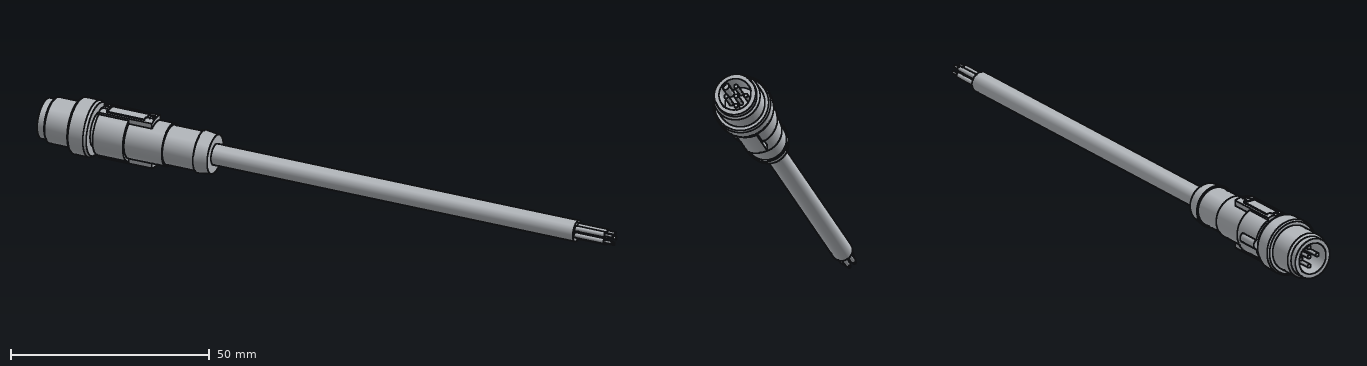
import cadquery as cq
import math


THREAD_CHAMFER_START = 1.9
THREAD_START = 2.4
RING_START = 9.0
RING_END = 14.3
SLEEVE_START = 15.8
SLEEVE_END = 24.1
TAB_END = 30.5
GRIP_END = 34.5
COLLAR_START = 43.1
COLLAR_END = 46.8
CABLE_END = 146.6
INSULATION_END = 154.7
TOTAL_LENGTH = 156.8

NOSE_RADIUS = 5.3
THREAD_RADIUS = 6.0
RING_RADIUS = 14.79 / 2
RING_FRONT_CHAMFER_LENGTH = 0.45
RING_REAR_CHAMFER_LENGTH = 0.75
RING_CHAMFER_DEPTH = 0.45
NECK_RADIUS = 4.6
SLEEVE_RADIUS = 6.4
GRIP_RADIUS = 5.6
TAIL_RADIUS = 5.15
COLLAR_FRONT_RADIUS = 5.6
COLLAR_REAR_RADIUS = 5.1
CABLE_RADIUS = 2.75

CAVITY_RADIUS = 4.1
CAVITY_DEPTH = 8.5
PIN_RADIUS = 0.5
OUTER_PIN_COUNT = 4
PIN_CIRCLE_RADIUS = 2.5
PIN_RECESS = 1.5
KEY_RADIUS = 0.9
KEY_CENTER_RADIUS = 3.8
KEY_ANGLE = 45

TAB_WIDTH = 5.2
TAB_RADIUS = 6.9
POCKET_START = 17.6
POCKET_END = 28.0
POCKET_WIDTH = 3.5
POCKET_FLOOR_HEIGHT = 6.4
GROOVE_WIDTH = 1.5
GROOVE_DEPTH = 0.35
GROOVE_END_WALL = 0.5

RIDGE_LENGTH = 6.0
RIDGE_RADIUS = 1.4
RIDGE_HEIGHT = 7.1

WIRE_COUNT = 5
WIRE_CIRCLE_RADIUS = 1.4
FIRST_WIRE_ANGLE = -90
WIRE_RADIUS = 0.7
CONDUCTOR_RADIUS = 0.4


def rod(start, end, radius, y=0.0, z=0.0):
    """A round bar parallel to X."""
    return cq.Workplane("YZ", origin=(start, y, z)).circle(radius).extrude(end - start)


def block(start, end, y_min, y_max, z_min, z_max):
    """A box given by its limits along each axis."""
    size = (end - start, y_max - y_min, z_max - z_min)
    return cq.Workplane("XY", origin=(start, y_min, z_min)).box(*size, centered=False)


def on_circle(radius, angle):
    """The (y, z) place at an angle in degrees, measured from +Y towards +Z."""
    return radius * math.cos(math.radians(angle)), radius * math.sin(math.radians(angle))


def turned_body():
    """Nose, thread, coupling ring, neck, sleeve, grip, collar and cable as one revolved profile."""
    ring_edge_radius = RING_RADIUS - RING_CHAMFER_DEPTH
    profile = [
        (0, 0),
        (0, NOSE_RADIUS),
        (THREAD_CHAMFER_START, NOSE_RADIUS),
        (THREAD_START, THREAD_RADIUS),
        (RING_START, THREAD_RADIUS),
        (RING_START, ring_edge_radius),
        (RING_START + RING_FRONT_CHAMFER_LENGTH, RING_RADIUS),
        (RING_END - RING_REAR_CHAMFER_LENGTH, RING_RADIUS),
        (RING_END, ring_edge_radius),
        (RING_END, NECK_RADIUS),
        (SLEEVE_START, NECK_RADIUS),
        (SLEEVE_START, SLEEVE_RADIUS),
        (SLEEVE_END, SLEEVE_RADIUS),
        (SLEEVE_END, GRIP_RADIUS),
        (GRIP_END, GRIP_RADIUS),
        (GRIP_END, TAIL_RADIUS),
        (COLLAR_START, TAIL_RADIUS),
        (COLLAR_START, COLLAR_FRONT_RADIUS),
        (COLLAR_END, COLLAR_REAR_RADIUS),
        (COLLAR_END, CABLE_RADIUS),
        (CABLE_END, CABLE_RADIUS),
        (CABLE_END, 0),
    ]
    return cq.Workplane("XY").polyline(profile).close().revolve(360, (0, 0, 0), (1, 0, 0))


def tabs():
    """Raised strips along the top and bottom, their outer faces curved about the axis."""
    half_width = TAB_WIDTH / 2
    strip = block(SLEEVE_START, TAB_END, -half_width, half_width, -TAB_RADIUS, TAB_RADIUS)
    return strip.intersect(rod(SLEEVE_START, TAB_END, TAB_RADIUS))


def tab_recesses():
    """Flat label pocket in the top tab and the shallow groove running through it."""
    pocket = block(
        POCKET_START, POCKET_END, -POCKET_WIDTH / 2, POCKET_WIDTH / 2, POCKET_FLOOR_HEIGHT, TAB_RADIUS
    )
    groove = block(
        SLEEVE_START,
        TAB_END - GROOVE_END_WALL,
        -GROOVE_WIDTH / 2,
        GROOVE_WIDTH / 2,
        TAB_RADIUS - GROOVE_DEPTH,
        TAB_RADIUS,
    )
    return pocket.union(groove)


def side_ridge():
    """Short half-round ridge on the +Y side of the sleeve."""
    ridge_end = SLEEVE_START + RIDGE_LENGTH
    return rod(SLEEVE_START, ridge_end, RIDGE_RADIUS, RIDGE_HEIGHT - RIDGE_RADIUS)


def contact_cavity():
    """Round socket in the nose, leaving the five pins and the coding key standing."""
    cavity = rod(0, CAVITY_DEPTH, CAVITY_RADIUS)
    pin_places = [(0, 0)]
    for index in range(OUTER_PIN_COUNT):
        pin_places.append(on_circle(PIN_CIRCLE_RADIUS, index * 360 / OUTER_PIN_COUNT))
    for y, z in pin_places:
        cavity = cavity.cut(rod(PIN_RECESS, CAVITY_DEPTH, PIN_RADIUS, y, z))
    key_y, key_z = on_circle(KEY_CENTER_RADIUS, KEY_ANGLE)
    return cavity.cut(rod(PIN_RECESS, CAVITY_DEPTH, KEY_RADIUS, key_y, key_z))


def add_wires(body):
    """Insulated wires with bared ends, evenly spaced on a circle with one at the bottom."""
    for index in range(WIRE_COUNT):
        y, z = on_circle(WIRE_CIRCLE_RADIUS, index * 360 / WIRE_COUNT + FIRST_WIRE_ANGLE)
        body = body.union(rod(CABLE_END, INSULATION_END, WIRE_RADIUS, y, z))
        body = body.union(rod(INSULATION_END, TOTAL_LENGTH, CONDUCTOR_RADIUS, y, z))
    return body


connector = turned_body().union(tabs()).union(side_ridge())
connector = connector.cut(tab_recesses()).cut(contact_cavity())
result = add_wires(connector)